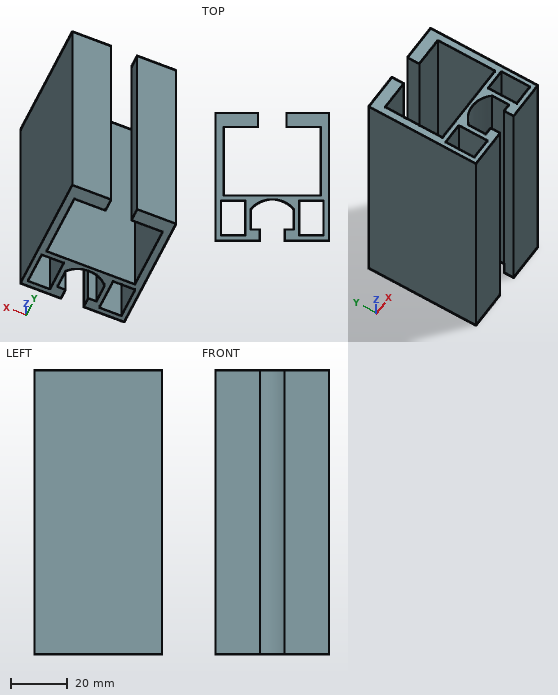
import cadquery as cq
import math

width = 40.0
depth = 45.0
length = 100.0

side_wall = 3.0
rear_lip = 5.0
rear_opening = 10.0
channel_floor = 16.0

chamber_wall = 2.0

slot_width = 15.0
slot_opening = 8.7
front_lip = 4.0
arch_radius = 10.0
arch_crown = 14.5

front = -depth / 2
rear = depth / 2


def prism(x_min, x_max, y_min, y_max):
    """Full-length rectangular prism between the given X and Y limits."""
    return (
        cq.Workplane("XY")
        .center((x_min + x_max) / 2, (y_min + y_max) / 2)
        .rect(x_max - x_min, y_max - y_min)
        .extrude(length)
    )


def rear_channel():
    """Wide channel together with its narrower opening in the rear face."""
    half_channel = width / 2 - side_wall
    half_opening = rear_opening / 2
    floor_y = front + channel_floor
    cavity = prism(-half_channel, half_channel, floor_y, rear - rear_lip)
    return cavity.union(prism(-half_opening, half_opening, floor_y, rear))


def corner_chamber(side):
    """Closed front chamber on the given side: -1 for -X, +1 for +X."""
    inner = side * (slot_width / 2 + chamber_wall)
    outer = side * (width / 2 - chamber_wall)
    y_min = front + chamber_wall
    y_max = front + channel_floor - chamber_wall
    return prism(min(inner, outer), max(inner, outer), y_min, y_max)


def front_slot():
    """Slot with an arched roof, undercut behind the two front lips."""
    half_slot = slot_width / 2
    half_opening = slot_opening / 2
    arch_rise = arch_radius - math.sqrt(arch_radius**2 - half_slot**2)
    lip_y = front + front_lip
    crown_y = front + arch_crown
    spring_y = crown_y - arch_rise
    return (
        cq.Workplane("XY")
        .moveTo(-half_opening, front)
        .lineTo(half_opening, front)
        .lineTo(half_opening, lip_y)
        .lineTo(half_slot, lip_y)
        .lineTo(half_slot, spring_y)
        .threePointArc((0, crown_y), (-half_slot, spring_y))
        .lineTo(-half_slot, lip_y)
        .lineTo(-half_opening, lip_y)
        .close()
        .extrude(length)
    )


result = prism(-width / 2, width / 2, front, rear)
result = result.cut(rear_channel())
result = result.cut(front_slot())
for side in (-1, 1):
    result = result.cut(corner_chamber(side))